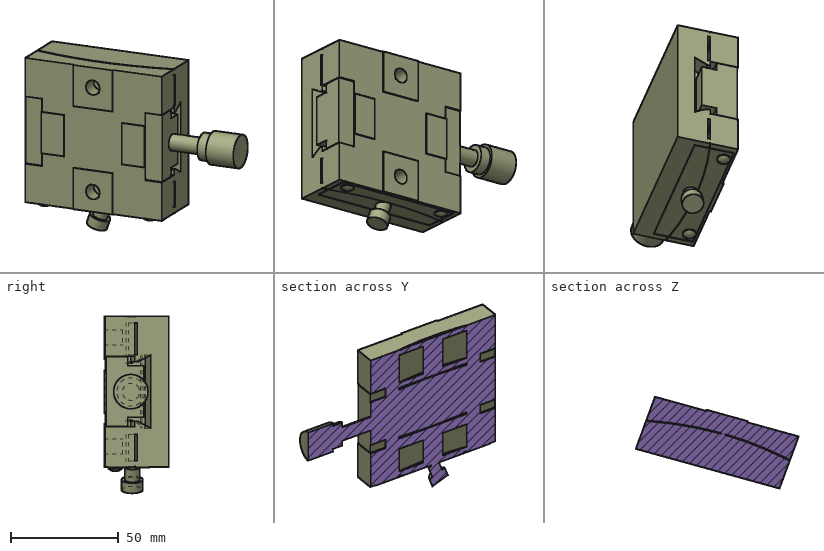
import cadquery as cq
import math

body_side = 70.0
body_depth = 29.4
half_side = body_side / 2

seam_radius = 150.2
seam_lowest_depth = 20.1
seam_axis_y = seam_radius - seam_lowest_depth
seam_groove_width = 0.2
seam_groove_depth = 0.3

slot_thickness = 1.2
slot_spans = [(17.0, 31.9), (-32.0, -19.8)]

floor_depth = 7.4
floor_radius = seam_radius - floor_depth
floor_half_width = 17.0
floor_gap = 0.7
flank_overlap = 0.05
male_root = 1.0
neck_half_width = 13.0
lip_half_width = 13.9
flank_slope = (floor_half_width - neck_half_width) / floor_depth
lip_radius = seam_radius - (lip_half_width - neck_half_width) / flank_slope

end_length = 8.5
end_x = half_side - end_length
end_pocket_half_width = 16.4
block_half_width = 16.2
block_tongue_half_width = 12.0
block_tongue_depth = 11.8
block_step_depth = 19.0
block_front_depth = 29.0

pad_side = 20.1
pad_height = 0.6
hole_diameter = 7.0
hole_depth = 8.4
hole_spacing = 50.6

screw_depth = 17.6
screw_steps = [(8.0, 15.8), (13.1, 20.9), (16.0, 35.0)]

cover_length = 64.0
cover_near_depth = 9.1
cover_far_depth = 28.1
cover_thickness = 0.3
cover_screw_spacing = 54.0
cover_screw_depth = 24.9
cover_screw_diameter = 6.3
cover_screw_rim = 0.4
cover_screw_height = 1.7

clamp_x = -0.2
clamp_depth = 17.0
clamp_tilt = 20
clamp_length = 11.2
clamp_stem_diameter = 7.0
clamp_head_diameter = 10.0
clamp_head_length = 5.0


def box(x_range, depth_range, z_range):
    """Box between two X values, two depths below the back and two Z values."""
    size = [high - low for low, high in (x_range, depth_range, z_range)]
    corner = cq.Vector(x_range[0], -depth_range[1], z_range[0])
    return cq.Workplane(cq.Solid.makeBox(*size, corner))


def ring(profile):
    """Revolve a (radius, Z) outline about the seam axis."""
    points = [(seam_axis_y + radius, z) for radius, z in profile]
    return (
        cq.Workplane("YZ").polyline(points).close()
        .revolve(360, (seam_axis_y, 0), (seam_axis_y, 1))
    )


def ring_band(inner_radius, outer_radius, low, high):
    return ring([(inner_radius, low), (outer_radius, low), (outer_radius, high), (inner_radius, high)])


def mirrored(half_profile):
    """Close a half profile with its mirror image across Z = 0."""
    return half_profile + [(radius, -z) for radius, z in reversed(half_profile)]


def between_ends():
    """The stretch of the body between the two end blocks."""
    return box((-end_x, end_x), (0, body_depth + pad_height), (-half_side, half_side))


def cut_seam(body):
    for low, high in slot_spans:
        body = body.cut(ring_band(seam_radius - slot_thickness, seam_radius, low, high))
    for low in (-half_side, half_side - seam_groove_depth):
        body = body.cut(ring_band(seam_radius - seam_groove_width, seam_radius, low, low + seam_groove_depth))
    return body


def cut_female_dovetail(body):
    return body.cut(ring(mirrored([
        (floor_radius, floor_half_width),
        (lip_radius, lip_half_width),
        (seam_radius, lip_half_width),
    ])))


def cut_end_pockets(body):
    outer_radius = seam_radius + body_depth
    pocket = ring_band(seam_radius, outer_radius, -end_pocket_half_width, end_pocket_half_width)
    return body.cut(pocket.cut(between_ends()))


def add_male_dovetail(body):
    male_radius = floor_radius + floor_gap
    male_half_width = floor_half_width - floor_gap * flank_slope + flank_overlap
    male = ring(mirrored([
        (male_radius, male_half_width),
        (seam_radius, neck_half_width + flank_overlap),
        (seam_radius + male_root, neck_half_width + flank_overlap),
    ]))
    return body.union(male.intersect(between_ends()))


def add_end_blocks(body):
    for x_range in ((-half_side, -end_x), (end_x, half_side)):
        tongue_z = (-block_tongue_half_width, block_tongue_half_width)
        block_z = (-block_half_width, block_half_width)
        body = body.union(box(x_range, (block_tongue_depth, block_step_depth), tongue_z))
        body = body.union(box(x_range, (block_step_depth, block_front_depth), block_z))
    return body


def add_pads(body):
    pad_offset = half_side - pad_side / 2
    pad_depth = (body_depth, body_depth + pad_height)
    for x, z in ((-pad_offset, 0), (pad_offset, 0), (0, -pad_offset), (0, pad_offset)):
        x_range = (x - pad_side / 2, x + pad_side / 2)
        z_range = (z - pad_side / 2, z + pad_side / 2)
        body = body.union(box(x_range, pad_depth, z_range))
    return body


def drill_pad_holes(body):
    front_y = -body_depth - pad_height
    for z in (-hole_spacing / 2, hole_spacing / 2):
        hole = cq.Workplane("XZ", origin=(0, front_y, z)).circle(hole_diameter / 2).extrude(-hole_depth)
        body = body.cut(hole)
    return body


def add_drive_screw(body):
    start = end_x
    for diameter, distance in screw_steps:
        end = half_side + distance
        step = cq.Workplane("YZ", origin=(start, -screw_depth, 0)).circle(diameter / 2).extrude(end - start)
        body = body.union(step)
        start = end
    return body


def add_cover(body):
    cover_bottom = -half_side - cover_thickness
    body = body.union(box(
        (-cover_length / 2, cover_length / 2),
        (cover_near_depth, cover_far_depth),
        (cover_bottom, -half_side),
    ))
    radius = cover_screw_diameter / 2
    dome_height = cover_screw_height - cover_screw_rim
    dome_radius = (radius ** 2 + dome_height ** 2) / (2 * dome_height)
    dome_angle = math.asin(radius / dome_radius) / 2
    dome_middle = (
        dome_radius * math.sin(dome_angle),
        dome_radius * (1 - math.cos(dome_angle)) - cover_screw_height,
    )
    head = (
        cq.Workplane("XZ")
        .lineTo(radius, 0)
        .lineTo(radius, -cover_screw_rim)
        .threePointArc(dome_middle, (0, -cover_screw_height))
        .close()
        .revolve(360, (0, 0), (0, 1))
    )
    for x in (-cover_screw_spacing / 2, cover_screw_spacing / 2):
        body = body.union(head.translate((x, -cover_screw_depth, cover_bottom)))
    return body


def add_clamp_screw(body):
    stem = cq.Workplane("XY").circle(clamp_stem_diameter / 2).extrude(-clamp_length)
    head = (
        cq.Workplane("XY", origin=(0, 0, -clamp_length))
        .circle(clamp_head_diameter / 2).extrude(clamp_head_length)
    )
    screw = stem.union(head).rotate((0, 0, 0), (0, 1, 0), clamp_tilt)
    return body.union(screw.translate((clamp_x, -clamp_depth, -half_side)))


body = box((-half_side, half_side), (0, body_depth), (-half_side, half_side))
body = add_pads(body)
body = cut_female_dovetail(body)
body = cut_end_pockets(body)
body = add_male_dovetail(body)
body = add_end_blocks(body)
body = cut_seam(body)
body = drill_pad_holes(body)
body = add_drive_screw(body)
body = add_cover(body)
result = add_clamp_screw(body)